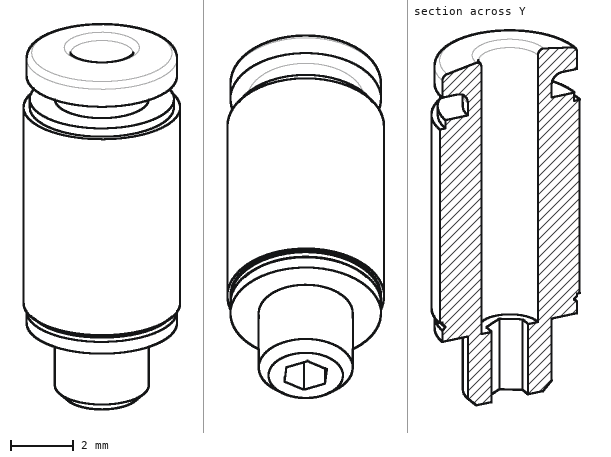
import cadquery as cq
import math

total_height = 12.1
head_bottom = 11.11
collar_top = 10.31
body_top = 10.02
body_bottom = 3.18
groove_top = 3.11
flange_top = 2.9
flange_bottom = 2.49

body_radius = 5.0 / 2
flange_radius = 4.8 / 2
head_radius = flange_radius
collar_radius = 4.6 / 2
pin_radius = 3.0 / 2
neck_radius = pin_radius

pin_chamfer = 0.31
neck_fillet = 0.36
head_edge_fillet = 0.2
crown_angle = math.radians(10)

bore_radius = 2.0 / 2
rim_round = 0.2
bore_floor = flange_bottom
hex_across_flats = 1.3
hex_across_corners = hex_across_flats / math.cos(math.pi / 6)


def arc_point(center, radius, angle):
    """Point at the given angle on a circle in the radius-height plane."""
    return (center[0] + radius * math.cos(angle), center[1] + radius * math.sin(angle))


rim_center = (bore_radius + rim_round, total_height - rim_round)
rim_top = (rim_center[0], total_height)
edge_center_radius = head_radius - head_edge_fillet
crown_end_angle = math.pi / 2 - crown_angle
crown_end_radius = edge_center_radius + head_edge_fillet * math.cos(crown_end_angle)
crown_end_height = total_height - (crown_end_radius - rim_top[0]) * math.tan(crown_angle)
edge_center = (
    edge_center_radius,
    crown_end_height - head_edge_fillet * math.sin(crown_end_angle),
)
neck_center = (neck_radius + neck_fillet, head_bottom - neck_fillet)

groove_depth = (groove_top - flange_top) / 2
groove_root = (flange_radius - groove_depth, flange_top + groove_depth)

profile = (
    cq.Workplane("XZ")
    .moveTo(0, 0)
    .lineTo(pin_radius - pin_chamfer, 0)
    .lineTo(pin_radius, pin_chamfer)
    .lineTo(pin_radius, flange_bottom)
    .lineTo(flange_radius, flange_bottom)
    .lineTo(flange_radius, flange_top)
    .lineTo(*groove_root)
    .lineTo(flange_radius, groove_top)
    .lineTo(flange_radius, body_bottom)
    .lineTo(body_radius, body_bottom)
    .lineTo(body_radius, body_top)
    .lineTo(collar_radius, body_top)
    .lineTo(collar_radius, collar_top)
    .lineTo(neck_radius, collar_top)
    .lineTo(neck_radius, neck_center[1])
    .threePointArc(
        arc_point(neck_center, neck_fillet, math.radians(135)),
        (neck_center[0], head_bottom),
    )
    .lineTo(head_radius, head_bottom)
    .lineTo(head_radius, edge_center[1])
    .threePointArc(
        arc_point(edge_center, head_edge_fillet, crown_end_angle / 2),
        (crown_end_radius, crown_end_height),
    )
    .lineTo(*rim_top)
    .threePointArc(
        arc_point(rim_center, rim_round, math.radians(135)),
        (bore_radius, rim_center[1]),
    )
    .lineTo(bore_radius, bore_floor)
    .lineTo(0, bore_floor)
    .close()
)
turned_body = profile.revolve(360, (0, 0, 0), (0, 1, 0))

hex_socket = (
    cq.Workplane("XY")
    .polygon(6, hex_across_corners)
    .extrude(bore_floor)
    .rotate((0, 0, 0), (0, 0, 1), 30)
)

result = turned_body.cut(hex_socket)